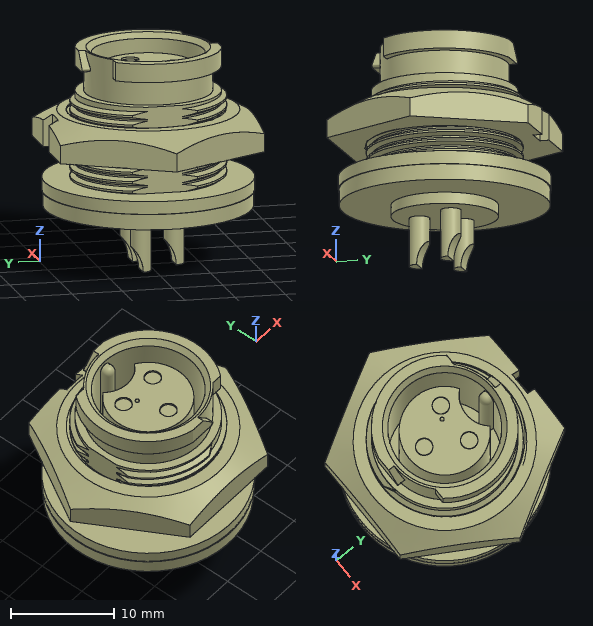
import cadquery as cq
import math

solder_tip_z = -5.92
insert_bottom_z = -1.11
flange_step_z = 1.55
flange_top_z = 2.84
nut_bottom_z = 6.06
nut_top_z = 9.52
barrel_top_z = 11.44
insert_face_z = 14.03
rim_bottom_z = 13.89
rim_top_z = 15.72

lower_flange_radius = 10.22
upper_flange_radius = 10.31
barrel_radius = 7.1
neck_radius = 6.25
bore_radius = 5.5
bore_chamfer = 0.53
barrel_flat_x = -6.88

thread_crest_radius = 7.6
thread_pitch = 0.94
thread_turns = 9.5
thread_crest_width = 0.2
thread_flank_angle = 30
thread_embed = 0.08
thread_end_z = 10.92
runout_start_x = 0.1
runout_end_x = 1.22

rim_radius = barrel_radius
rim_flat_y = 6.93
entry_wall_y = 4.56
ramp_tip_x = 1.5
ramp_tip_z = 14.14
ramp_heel_x = 1.22
ramp_tip_fillet = 0.12

insert_radius = 4.41
insert_tail_radius = 5.2
scallop_radius = 3.1
scallop_centre_y = 5.73
contact_circle_radius = 2.54
contact_angles = (30, 150, 270)
socket_radius = 0.84
socket_depth = 0.2
pin_radius = 1.0
scarf_length = 2.4
dot_radius = 0.2
dot_x = -1.05
dot_y = 0.51
key_radius = 0.7
key_centre_y = 5.09

nut_corner_diameter = 23.46
nut_top_radius = 8.86
nut_chamfer_angle = 30
nut_bore_radius = 7.5
nut_bore_seam_angle = 90
nut_groove_radius = 7.93
nut_groove_floor_width = 0.15
nut_groove_flank_angle = 20
nut_groove_turns = 5
nut_notch_width = 2.35
nut_notch_floor_y = 9.26


def disc(radius, bottom, top):
    """Solid cylinder on the Z axis between two heights."""
    return cq.Workplane("XY").workplane(offset=bottom).circle(radius).extrude(top - bottom)


def barrel_end_y():
    """Y of the point where the thread run-out meets the barrel."""
    return -math.sqrt(barrel_radius**2 - runout_end_x**2)


def helical_ridge(root_radius, crest_radius, crest_width, flank_angle, turns, end_z):
    """Right-hand trapezoidal ridge whose upper end is centred at end_z, at the thread's end angle."""
    height = thread_pitch * turns
    base_radius = root_radius - thread_embed
    crest_half = crest_width / 2
    base_half = crest_half + (crest_radius - base_radius) * math.tan(math.radians(flank_angle))
    helix = cq.Wire.makeHelix(thread_pitch, height, root_radius)
    ridge = (
        cq.Workplane("XZ")
        .polyline([
            (base_radius, -base_half),
            (crest_radius, -crest_half),
            (crest_radius, crest_half),
            (base_radius, base_half),
        ])
        .close()
        .sweep(cq.Workplane(obj=helix), isFrenet=True)
    )
    end_angle = math.degrees(math.atan2(barrel_end_y(), runout_end_x))
    ridge = ridge.rotate((0, 0, 0), (0, 0, 1), end_angle - 360 * turns)
    return ridge.translate((0, 0, end_z - height))


def flat_cut():
    """Block that trims the threaded barrel to its flat on the -X side."""
    width = thread_crest_radius
    return (
        cq.Workplane("XY")
        .box(width, 2 * width, barrel_top_z - flange_top_z, centered=(False, True, False))
        .translate((barrel_flat_x - width, 0, flange_top_z))
    )


def threaded_barrel():
    """Tube above the flange with its thread, run-out and flat."""
    tube = disc(barrel_radius, flange_top_z, barrel_top_z).cut(disc(bore_radius, flange_top_z, barrel_top_z))
    ridge = helical_ridge(
        barrel_radius,
        thread_crest_radius,
        thread_crest_width,
        thread_flank_angle,
        thread_turns,
        thread_end_z,
    )
    crest_start_y = -math.sqrt(thread_crest_radius**2 - runout_start_x**2)
    ramp_slope = (barrel_end_y() - crest_start_y) / (runout_end_x - runout_start_x)
    outer_x = 2 * runout_end_x
    runout_cut = (
        cq.Workplane("XY")
        .workplane(offset=thread_end_z - thread_pitch / 2)
        .polyline([
            (runout_start_x, crest_start_y),
            (outer_x, crest_start_y + ramp_slope * (outer_x - runout_start_x)),
            (outer_x, -nut_top_radius),
            (runout_start_x, -nut_top_radius),
        ])
        .close()
        .extrude(thread_pitch)
    )
    barrel = tube.union(ridge.cut(runout_cut, clean=False), clean=False)
    barrel = barrel.cut(flat_cut(), clean=False)
    return barrel.cut(disc(upper_flange_radius, 0, flange_top_z), clean=False)


def bayonet_rim():
    """Rim ring with two flats and two half-turn-symmetric entry gaps with hooked ramps."""
    height = rim_top_z - rim_bottom_z
    rim = disc(rim_radius, rim_bottom_z, rim_top_z)
    slab = cq.Workplane("XY").box(2 * rim_radius, 2 * rim_flat_y, height, centered=(True, True, False))
    rim = rim.intersect(slab.translate((0, 0, rim_bottom_z)))
    ramp_tip = (ramp_tip_x, -(rim_radius + entry_wall_y) / 2, ramp_tip_z)
    gap = (
        cq.Workplane("XZ", origin=(0, -entry_wall_y, 0))
        .polyline([
            (0, rim_top_z),
            (ramp_tip_x, ramp_tip_z),
            (ramp_heel_x, rim_bottom_z),
            (rim_radius, rim_bottom_z),
            (rim_radius, rim_top_z),
        ])
        .close()
        .extrude(rim_radius - entry_wall_y)
        .edges(cq.selectors.NearestToPointSelector(ramp_tip))
        .fillet(ramp_tip_fillet)
    )
    for half_turn in (0, 180):
        rim = rim.cut(gap.rotate((0, 0, 0), (0, 0, 1), half_turn))
    return rim


def cavity():
    """Bore down to the flange top, with a chamfered mouth."""
    bore = disc(bore_radius, flange_top_z, rim_top_z)
    mouth = (
        cq.Workplane("XZ")
        .polyline([
            (0, rim_top_z - bore_chamfer),
            (bore_radius, rim_top_z - bore_chamfer),
            (bore_radius + bore_chamfer, rim_top_z),
            (0, rim_top_z),
        ])
        .close()
        .revolve(360, (0, 0, 0), (0, 1, 0))
    )
    return bore.union(mouth)


def contact_points():
    """Contact centres, evenly spaced on their circle."""
    points = []
    for angle in contact_angles:
        turn = math.radians(angle)
        points.append((contact_circle_radius * math.cos(turn), contact_circle_radius * math.sin(turn)))
    return points


def insert():
    """Contact carrier standing in the bore: key scallop, shallow sockets and an index dot."""
    core = disc(insert_radius, flange_top_z, insert_face_z)
    scallop = disc(scallop_radius, flange_top_z, insert_face_z).translate((0, scallop_centre_y, 0))
    sockets = (
        cq.Workplane("XY")
        .workplane(offset=insert_face_z - socket_depth)
        .pushPoints(contact_points())
        .circle(socket_radius)
        .extrude(socket_depth)
    )
    dot = cq.Workplane("XY").sphere(dot_radius).translate((dot_x, dot_y, insert_face_z))
    return core.cut(scallop).cut(sockets).union(dot)


def key():
    """Upright key on the bore wall with a round nose and a round top."""
    wall_y = (bore_radius + neck_radius) / 2
    depth = wall_y - key_centre_y
    nose = disc(key_radius, flange_top_z, insert_face_z).translate((0, key_centre_y, 0))
    web = (
        cq.Workplane("XY")
        .box(2 * key_radius, depth, insert_face_z - flange_top_z, centered=(True, False, False))
        .translate((0, key_centre_y, flange_top_z))
    )
    ridge = cq.Workplane("XZ", origin=(0, key_centre_y, insert_face_z)).circle(key_radius).extrude(-depth)
    tip = cq.Workplane("XY").sphere(key_radius).translate((0, key_centre_y, insert_face_z))
    return nose.union(web).union(ridge).union(tip)


def solder_pin(x, y):
    """Tail pin whose +Y half is scooped away by an arc at the lower end."""
    pin = disc(pin_radius, solder_tip_z, insert_bottom_z).translate((x, y, 0))
    scoop_half_width = 2 * pin_radius
    scoop_radius = (pin_radius**2 + scarf_length**2) / (2 * pin_radius)
    scoop = (
        cq.Workplane("YZ", origin=(x - scoop_half_width, y + scoop_radius, solder_tip_z))
        .circle(scoop_radius)
        .extrude(2 * scoop_half_width)
    )
    return pin.cut(scoop)


def make_housing():
    """Flanged, threaded connector shell with its insert, key and solder pins."""
    flange = disc(lower_flange_radius, 0, flange_step_z)
    flange = flange.union(disc(upper_flange_radius, flange_step_z, flange_top_z))
    base = flange.union(insert()).union(disc(insert_tail_radius, insert_bottom_z, 0))
    for x, y in contact_points():
        base = base.union(solder_pin(x, y))
    neck = disc(neck_radius, barrel_top_z, rim_top_z).union(bayonet_rim()).cut(cavity())
    shell = threaded_barrel().union(neck, clean=False).union(base, clean=False)
    return shell.union(key(), clean=False)


def make_nut():
    """Hexagon nut with a conical top chamfer, a threaded bore and a notch in its +Y side."""
    height = nut_top_z - nut_bottom_z
    corner_radius = nut_corner_diameter / 2
    cone_drop = (corner_radius - nut_top_radius) * math.tan(math.radians(nut_chamfer_angle))
    hexagon = (
        cq.Workplane("XY")
        .workplane(offset=nut_bottom_z)
        .polygon(6, nut_corner_diameter)
        .extrude(height)
    )
    cone_envelope = (
        cq.Workplane("XZ")
        .polyline([
            (0, nut_bottom_z),
            (corner_radius, nut_bottom_z),
            (corner_radius, nut_top_z - cone_drop),
            (nut_top_radius, nut_top_z),
            (0, nut_top_z),
        ])
        .close()
        .revolve(360, (0, 0, 0), (0, 1, 0))
    )
    notch = (
        cq.Workplane("XY")
        .box(nut_notch_width, corner_radius - nut_notch_floor_y, height, centered=(True, False, False))
        .translate((0, nut_notch_floor_y, nut_bottom_z))
    )
    bore = disc(nut_bore_radius, nut_bottom_z, nut_top_z)
    bore = bore.rotate((0, 0, 0), (0, 0, 1), nut_bore_seam_angle)
    blank = hexagon.intersect(cone_envelope).cut(notch).cut(bore)
    groove = helical_ridge(
        nut_bore_radius,
        nut_groove_radius,
        nut_groove_floor_width,
        nut_groove_flank_angle,
        nut_groove_turns,
        thread_end_z - thread_pitch,
    )
    return blank.cut(groove, clean=False)


housing = make_housing()
nut = make_nut()

result = cq.Compound.makeCompound([housing.solids().val(), nut.solids().val()])